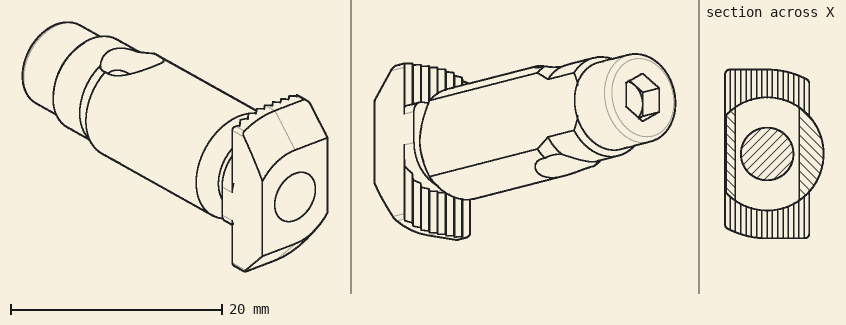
import cadquery as cq
import math


TOTAL_LENGTH = 35.7

HEAD_LENGTH = 5.0
HEAD_RADIUS = 4.25
HEAD_FILLET = 0.5
SHANK_RADIUS = 2.5
SOCKET_ACROSS_FLATS = 4.0
SOCKET_SIDES = 6
SOCKET_DEPTH = 2.5
SOCKET_TIP_ANGLE = 120.0

SLEEVE_END = 29.0
COLLAR_RADIUS = 4.8
BARREL_RADIUS = 5.35
CONE_START = 9.5
CONE_END = 11.1
SLEEVE_END_CHAMFER = 1.5
FLAT_DISTANCE = 3.9
CROSS_HOLE_RADIUS = 3.0
CROSS_HOLE_X = 11.5

NUT_WIDTH = 8.0
NUT_HEIGHT = 16.0
NUT_FACE = 31.2
NUT_CHAMFER = 3.0
NUT_FILLET = 0.5
BOSS_START = 29.7
BOSS_FILLET = 1.0
TOOTH_COUNT = 8

collar_chamfer = COLLAR_RADIUS - HEAD_RADIUS
half_width = NUT_WIDTH / 2
half_height = NUT_HEIGHT / 2
shoulder = TOTAL_LENGTH - NUT_CHAMFER


def revolve_about_x(outline):
    """Turn a closed outline of (x, radius) points around the X axis."""
    return cq.Workplane("XY").polyline(outline).close().revolve(360, (0, 0, 0), (1, 0, 0))


def rod(radius, start, end):
    """Cylinder on the X axis."""
    return cq.Workplane("YZ", origin=(start, 0, 0)).circle(radius).extrude(end - start)


def make_socket():
    """Hexagonal recess with corners pointing along Z, ending in a drilled cone."""
    tip_radius = SOCKET_ACROSS_FLATS / 2
    half_side_angle = math.pi / SOCKET_SIDES
    corner_radius = tip_radius / math.cos(half_side_angle)
    corner_angles = [half_side_angle * (2 * i + 1) for i in range(SOCKET_SIDES)]
    corners = [(corner_radius * math.cos(a), corner_radius * math.sin(a)) for a in corner_angles]
    hexagon = cq.Workplane("YZ").polyline(corners).close().extrude(SOCKET_DEPTH)
    tip_depth = tip_radius / math.tan(math.radians(SOCKET_TIP_ANGLE / 2))
    tip = revolve_about_x([(SOCKET_DEPTH, 0), (SOCKET_DEPTH, tip_radius), (SOCKET_DEPTH + tip_depth, 0)])
    return hexagon.union(tip)


def make_screw():
    head = rod(HEAD_RADIUS, 0, HEAD_LENGTH).faces("<X").edges().fillet(HEAD_FILLET)
    shank = rod(SHANK_RADIUS, HEAD_LENGTH, TOTAL_LENGTH)
    return head.union(shank).cut(make_socket())


def make_sleeve():
    body = revolve_about_x([
        (HEAD_LENGTH, 0),
        (HEAD_LENGTH, HEAD_RADIUS),
        (HEAD_LENGTH + collar_chamfer, COLLAR_RADIUS),
        (CONE_START, COLLAR_RADIUS),
        (CONE_END, BARREL_RADIUS),
        (SLEEVE_END - SLEEVE_END_CHAMFER, BARREL_RADIUS),
        (SLEEVE_END, BARREL_RADIUS - SLEEVE_END_CHAMFER),
        (SLEEVE_END, 0),
    ])
    bore = rod(SHANK_RADIUS, HEAD_LENGTH, SLEEVE_END)
    beyond_flat = cq.Workplane("XY").box(
        TOTAL_LENGTH, BARREL_RADIUS, 2 * BARREL_RADIUS, centered=(False, False, True)
    ).translate((0, FLAT_DISTANCE, 0))
    cross_hole = (
        cq.Workplane("XY", origin=(CROSS_HOLE_X, 0, -BARREL_RADIUS))
        .circle(CROSS_HOLE_RADIUS)
        .extrude(2 * BARREL_RADIUS)
    )
    return body.cut(bore).cut(beyond_flat).cut(cross_hole)


def square_quadrants(outline):
    """Extrude an (x, z) outline across the +Y +Z quadrant and repeat it half a turn around X."""
    quadrant = cq.Workplane("XZ").polyline(outline).close().extrude(-half_width)
    return quadrant.union(quadrant.rotate((0, 0, 0), (1, 0, 0), 180))


def quarter_turn_form(outline):
    """Round in two opposite quadrants and square in the other two, trimmed to the nut width."""
    form = revolve_about_x(outline).union(square_quadrants(outline))
    strip = cq.Workplane("XY").box(2 * TOTAL_LENGTH, NUT_WIDTH, 2 * NUT_HEIGHT)
    return form.intersect(strip)


def make_teeth_grooves():
    """V-grooves of 90 degrees running along Z, side by side over the clamping face."""
    pitch = NUT_WIDTH / TOOTH_COUNT
    depth = pitch / 2
    grooves = cq.Workplane("XY")
    for i in range(TOOTH_COUNT):
        y = -half_width + i * pitch
        grooves = grooves.union(
            cq.Workplane("XY", origin=(0, 0, -half_height))
            .polyline([(NUT_FACE, y), (NUT_FACE + depth, y + depth), (NUT_FACE, y + pitch)])
            .close()
            .extrude(NUT_HEIGHT)
        )
    return grooves


def make_nut():
    plate = quarter_turn_form([
        (NUT_FACE, 0),
        (NUT_FACE, half_height),
        (shoulder, half_height),
        (TOTAL_LENGTH, half_height - NUT_CHAMFER),
        (TOTAL_LENGTH, 0),
    ])
    long_corners = cq.selectors.BoxSelector(
        (NUT_FACE, -NUT_WIDTH, -NUT_HEIGHT), (shoulder, NUT_WIDTH, NUT_HEIGHT)
    )
    plate = plate.edges("|X").edges(long_corners).fillet(NUT_FILLET)
    plate = plate.cut(make_teeth_grooves())
    boss = quarter_turn_form([
        (BOSS_START, 0),
        (BOSS_START, half_width),
        (shoulder, half_width),
        (shoulder, 0),
    ])
    boss = boss.edges("|X").edges(">(0, 1, 1) or <(0, 1, 1)").fillet(BOSS_FILLET)
    return plate.union(boss).cut(rod(SHANK_RADIUS, BOSS_START, TOTAL_LENGTH))


screw = make_screw()
sleeve = make_sleeve()
nut = make_nut()

result = cq.Compound.makeCompound([screw.solids().val(), sleeve.solids().val(), nut.solids().val()])